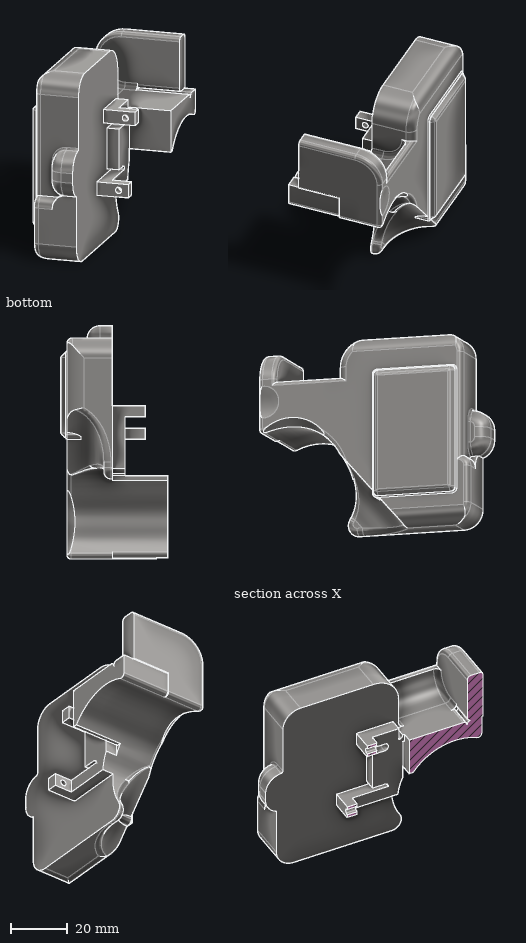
import cadquery as cq
import math

BODY_DEPTH = 16.0
BODY_HEIGHT = 68.0
HOUSING_WIDTH = 45.9
OUTER_CORNER_R = 7.0
INNER_CORNER_R = 10.0
TOP_EDGE_R = 4.75
INNER_EDGE_R = 3.0
SIDE_EDGE_R = 2.0
BOTTOM_EDGE_R = 6.0

STEP_OUT = 2.55
STEP_TOP = 24.3
STEP_CORNER_R = 4.25
STEP_INNER_Y = 15.0

ARM_END = 75.25
ARM_TOP = 54.2
ARM_TIP_R = 1.5
ARM_EDGE_R = 1.3
ARCH_R = 20.9
ARCH_Y = 64.1
ARCH_Z = 17.3
ARCH_END_ANGLE = math.acos((ARM_END - ARCH_Y) / ARCH_R)
TIP_R = 4.0
ARCH_BEVEL_R = 15.3
ARCH_BEVEL_Y = 63.3
ARCH_BEVEL_Z = 25.7
ARCH_BEVEL_DEPTH = 4.0

SCOOP_START = (45.0, 26.5)
SCOOP_END = (26.4, 5.5)
SCOOP_R = 13.0
SCOOP_LEAD = 3.0
SCOOP_EDGE_R = 2.5

SHELF_Z = 45.2
SHELF_DIP_R = ARM_TOP - SHELF_Z
SHELF_DIP_X = -4.5
SHELF_FOOT_R = 2.0
SHELF_END_X = 19.5
SHELF_BOTTOM = 30.0
SHELF_END_Y = 74.8

HOOK_INNER_Y = 68.85
HOOK_TOP = 65.2
HOOK_END_X = 15.5
HOOK_CORNER_R = 10.0
HOOK_EDGE_R = 1.5
DIMPLE_R = 5.7
DIMPLE_DEPTH = 0.6
DIMPLE_Y = 73.5
DIMPLE_Z = 47.1

PANEL_RISE = 2.2
PANEL_CHAMFER = 1.65
PANEL_Y = (2.0, 33.2)
PANEL_Z = (10.4, 56.4)
PANEL_CORNER_R = 1.8
PANEL_FLARE = 0.5
PANEL_EDGE_R = 1.2

BOSS_DEPTH = 8.9
BOSS_OUT = 6.85
BOSS_Z = (24.95, 41.65)
BOSS_CORNER_R = 6.6
BOSS_EDGE_R = 4.6
BOSS_FLARE_R = 0.8
BOSS_FOOT_TOP = 25.4
BOSS_FOOT_CORNER_R = 4.9

TERMINAL_THICK = 4.5
TERMINAL_LENGTH = 11.6
TERMINAL_HEIGHT = 4.9
TERMINAL_WIDTH = 3.9
TERMINAL_HOLE_D = 2.2
TERMINAL_HOLE_X = 8.0
UPPER_TERMINAL = (29.2, 43.7)
LOWER_TERMINAL = (21.3, 19.4)
CONTACT_FACE_Y = 33.2
CONTACT_BACK_Y = 45.2
UPPER_STRIP_END_Y = 43.7
SLOT_R = 1.5
SLOT_CENTER_Y = 38.0
OVERLAP = 5.0
REACH = 100.0


def box(x_range, y_range, z_range):
    """Box between the given limits."""
    size = [high - low for low, high in (x_range, y_range, z_range)]
    return (
        cq.Workplane("XY")
        .box(*size, centered=False)
        .translate((x_range[0], y_range[0], z_range[0]))
    )


def x_cylinder(radius, y, z, x_start, x_end):
    """Cylinder along X."""
    return cq.Workplane("YZ", origin=(x_start, y, z)).circle(radius).extrude(x_end - x_start)


def housing():
    """Upper housing with its rounded top, front and corners."""
    body = box((-BODY_DEPTH, 0), (0, HOUSING_WIDTH), (STEP_TOP - OVERLAP, BODY_HEIGHT))
    body = body.edges("|X and >Z and >Y").fillet(INNER_CORNER_R)
    top_front = cq.selectors.BoxSelector(
        (-BODY_DEPTH - OVERLAP, 0, BODY_HEIGHT - INNER_CORNER_R - OVERLAP),
        (-BODY_DEPTH + OVERLAP, HOUSING_WIDTH + OVERLAP, BODY_HEIGHT + OVERLAP),
    )
    body = body.edges(top_front).fillet(INNER_EDGE_R)
    top = box((-BODY_DEPTH, 0), (0, REACH), (0, BODY_HEIGHT))
    top = top.edges("<X and >Z").fillet(TOP_EDGE_R)
    side = box((-BODY_DEPTH, 0), (0, REACH), (0, BODY_HEIGHT))
    side = side.edges("|X and >Z and <Y").fillet(OUTER_CORNER_R)
    side = side.edges("<X and <Y").fillet(SIDE_EDGE_R)
    return body.intersect(top).intersect(side)


def lower_side():
    """Stepped-out lower side of the body."""
    side = box((-BODY_DEPTH, 0), (-STEP_OUT, STEP_INNER_Y), (0, STEP_TOP))
    side = side.edges("|X and <Y and >Z").fillet(STEP_CORNER_R)
    side = side.edges("|X and <Y and <Z").fillet(OUTER_CORNER_R)
    return side.edges("<X and <Y").fillet(SIDE_EDGE_R)


def tip_center():
    """Y, Z centre of the round that joins the arch to the underside."""
    z = TIP_R
    y = ARCH_Y - math.sqrt((ARCH_R + TIP_R) ** 2 - (ARCH_Z - z) ** 2)
    return y, z


def on_arch(angle):
    """Y, Z point of the arch at an angle from +Y."""
    return ARCH_Y + ARCH_R * math.cos(angle), ARCH_Z + ARCH_R * math.sin(angle)


def arm_blank(x_start):
    """Arm and lower body in one outline, hollowed underneath by the arch."""
    tip_y, tip_z = tip_center()
    tip_angle = math.atan2(tip_z - ARCH_Z, tip_y - ARCH_Y) + 2 * math.pi
    arch_middle_angle = (ARCH_END_ANGLE + tip_angle) / 2
    tip_middle_angle = (tip_angle - math.pi - math.pi / 2) / 2
    return (
        cq.Workplane("YZ", origin=(x_start, 0, 0))
        .moveTo(SIDE_EDGE_R, OUTER_CORNER_R)
        .lineTo(SIDE_EDGE_R, ARM_TOP)
        .lineTo(ARM_END, ARM_TOP)
        .lineTo(*on_arch(ARCH_END_ANGLE))
        .threePointArc(on_arch(arch_middle_angle), on_arch(tip_angle))
        .threePointArc(
            (tip_y + TIP_R * math.cos(tip_middle_angle), tip_z + TIP_R * math.sin(tip_middle_angle)),
            (tip_y, 0),
        )
        .lineTo(OUTER_CORNER_R, 0)
        .close()
        .extrude(-x_start)
    )


def arm():
    """Arm and lower body with the tip and the outer edges of the arm rounded."""
    tip = cq.selectors.NearestToPointSelector((-BODY_DEPTH / 2,) + on_arch(ARCH_END_ANGLE))
    body = arm_blank(-BODY_DEPTH).edges(tip).fillet(ARM_TIP_R)
    body = body.edges("<X and >Z").fillet(ARM_EDGE_R)
    return body.edges("<X and >Y").fillet(HOOK_EDGE_R)


def bottom_round():
    """Envelope that rounds the lower front edge."""
    envelope = box((-BODY_DEPTH, 0), (-STEP_OUT, REACH), (0, REACH))
    return envelope.edges("<X and <Z").fillet(BOTTOM_EDGE_R)


def scoop():
    """Cove that thins the lower tip behind a slanting edge of the front face."""
    along_y = SCOOP_END[0] - SCOOP_START[0]
    along_z = SCOOP_END[1] - SCOOP_START[1]
    plane = cq.Plane(
        origin=(-BODY_DEPTH, SCOOP_START[0], SCOOP_START[1]),
        xDir=(1, 0, 0),
        normal=(0, along_y, along_z),
    )
    outward = math.copysign(1, plane.yDir.y)
    middle = SCOOP_R * math.sqrt(0.5)
    return (
        cq.Workplane(plane)
        .moveTo(-OVERLAP * 2, 0)
        .lineTo(0, 0)
        .threePointArc((middle, outward * (SCOOP_R - middle)), (SCOOP_R, outward * SCOOP_R))
        .lineTo(SCOOP_R, outward * REACH)
        .lineTo(-OVERLAP * 2, outward * REACH)
        .close()
        .extrude(REACH)
        .translate(plane.zDir * -SCOOP_LEAD)
    )


def scooped_blank():
    """Envelope of the arm and lower body with the scoop and its rounded edge."""
    blank = arm_blank(-BODY_DEPTH - OVERLAP).cut(scoop())
    tip_y, tip_z = tip_center()
    edge = cq.selectors.NearestToPointSelector((-BODY_DEPTH + SCOOP_R, tip_y + TIP_R, tip_z / 2))
    return blank.edges(edge).fillet(SCOOP_EDGE_R)


def arch_bevel():
    """Cone that eases the front edge of the arch."""
    return cq.Workplane("XY").add(
        cq.Solid.makeCone(
            ARCH_BEVEL_R,
            ARCH_BEVEL_R - ARCH_BEVEL_DEPTH,
            ARCH_BEVEL_DEPTH,
            pnt=cq.Vector(-BODY_DEPTH, ARCH_BEVEL_Y, ARCH_BEVEL_Z),
            dir=cq.Vector(1, 0, 0),
        )
    )


def shelf_dip():
    """Cutter that sinks the shelf behind the front lip of the arm."""
    middle = SHELF_DIP_R * math.sqrt(0.5)
    cutter = (
        cq.Workplane("XZ", origin=(0, HOUSING_WIDTH, 0))
        .moveTo(SHELF_DIP_X - SHELF_DIP_R, ARM_TOP)
        .threePointArc((SHELF_DIP_X - middle, ARM_TOP - middle), (SHELF_DIP_X, SHELF_Z))
        .lineTo(OVERLAP, SHELF_Z)
        .lineTo(OVERLAP, HOOK_TOP)
        .lineTo(SHELF_DIP_X - SHELF_DIP_R, HOOK_TOP)
        .close()
        .extrude(HOUSING_WIDTH - HOOK_INNER_Y)
    )
    ends = cutter.faces("<Y or >Y").edges("not(>X or >Z)")
    return cutter.newObject(ends.vals()).fillet(SHELF_FOOT_R)


def hook():
    """Upright plate at the end of the arm."""
    plate = box((-BODY_DEPTH, HOOK_END_X), (HOOK_INNER_Y, ARM_END), (SHELF_Z, HOOK_TOP))
    plate = plate.edges("|Y and <X and >Z").fillet(HOOK_CORNER_R)
    plate = plate.faces(">Y").edges("not(>X or <Z)").fillet(HOOK_EDGE_R)
    return plate.faces("<Y").edges("not >X").fillet(HOOK_EDGE_R)


def dimple():
    """Shallow spherical thumb mark on the outer end of the arm."""
    radius = (DIMPLE_R ** 2 + DIMPLE_DEPTH ** 2) / (2 * DIMPLE_DEPTH)
    center_x = -BODY_DEPTH + DIMPLE_DEPTH - radius
    return cq.Workplane("XY").sphere(radius).translate((center_x, DIMPLE_Y, DIMPLE_Z))


def shelf():
    """Block behind the arm, grooved under the hook and hollowed by the arch."""
    block = box((0, SHELF_END_X), (HOUSING_WIDTH, HOOK_INNER_Y), (SHELF_BOTTOM, SHELF_Z))
    block = block.edges("|X and >Y and >Z").fillet(HOOK_EDGE_R)
    back = box((0, SHELF_END_X), (HOOK_INNER_Y, SHELF_END_Y), (SHELF_BOTTOM, SHELF_Z))
    back = back.edges("|X and <Y and >Z").fillet(HOOK_EDGE_R)
    back = back.cut(x_cylinder(ARCH_R, ARCH_Y, ARCH_Z, 0, SHELF_END_X))
    back = back.edges("|X and >Y and <Z").fillet(ARM_TIP_R)
    block = block.cut(x_cylinder(ARCH_R, ARCH_Y, ARCH_Z, 0, SHELF_END_X))
    return block.union(back)


def panel():
    """Raised rectangular panel on the front face."""
    base = box((-BODY_DEPTH - PANEL_FLARE, -BODY_DEPTH + OVERLAP), PANEL_Y, PANEL_Z)
    base = base.edges("|X").fillet(PANEL_CORNER_R)
    base = base.faces("<X").chamfer(PANEL_FLARE)
    plate = box(
        (-BODY_DEPTH - PANEL_RISE, -BODY_DEPTH + OVERLAP),
        (PANEL_Y[0] + PANEL_FLARE, PANEL_Y[1] - PANEL_FLARE),
        (PANEL_Z[0] + PANEL_FLARE, PANEL_Z[1] - PANEL_FLARE),
    )
    plate = plate.edges("|X").fillet(PANEL_CORNER_R)
    plate = plate.faces("<X").chamfer(PANEL_CHAMFER)
    plate = plate.faces("<X").edges().fillet(PANEL_EDGE_R)
    return base.union(plate)


def boss():
    """Rounded lug on the side of the housing."""
    lug = box((-BOSS_DEPTH, 0), (-BOSS_OUT, OVERLAP), BOSS_Z)
    lug = lug.edges("|X and <Y").fillet(BOSS_CORNER_R)
    lug = lug.faces("<X").edges("not >Y").fillet(BOSS_EDGE_R)
    foot = box((-BOSS_DEPTH, 0), (-STEP_OUT, OVERLAP), (STEP_TOP - STEP_CORNER_R, BOSS_FOOT_TOP))
    foot = foot.edges("<X and >Z").fillet(BOSS_FOOT_CORNER_R)
    return lug.union(foot)


def terminal(corner, strip_end_y):
    """Contact strip ending in a pierced terminal blade."""
    y, z = corner
    z_range = (z, z + TERMINAL_HEIGHT)
    strip = box((0, TERMINAL_THICK), (y, strip_end_y), z_range)
    blade = box((0, TERMINAL_LENGTH), (y, y + TERMINAL_WIDTH), z_range)
    hole = (
        cq.Workplane("XZ", origin=(TERMINAL_HOLE_X, y, z + TERMINAL_HEIGHT / 2))
        .circle(TERMINAL_HOLE_D / 2)
        .extrude(-TERMINAL_WIDTH)
    )
    return strip.union(blade).cut(hole)


def contacts():
    """Contact block with a slot beside each of its two terminal strips."""
    bottom = LOWER_TERMINAL[1]
    top = UPPER_TERMINAL[1]
    block = box((0, TERMINAL_THICK), (CONTACT_FACE_Y, CONTACT_BACK_Y), (bottom, top))
    foot = box(
        (0, TERMINAL_THICK), (UPPER_STRIP_END_Y, HOUSING_WIDTH), (top - SLOT_R, top + SLOT_R)
    )
    foot = foot.cut(x_cylinder(SLOT_R, CONTACT_BACK_Y - SLOT_R, top + SLOT_R, 0, TERMINAL_THICK))
    block = block.union(foot)
    for slot_z in (top - SLOT_R, bottom + TERMINAL_HEIGHT):
        slot = box(
            (0, TERMINAL_THICK),
            (CONTACT_FACE_Y, SLOT_CENTER_Y),
            (slot_z - SLOT_R, slot_z + SLOT_R),
        )
        block = block.cut(slot).cut(x_cylinder(SLOT_R, SLOT_CENTER_Y, slot_z, 0, TERMINAL_THICK))
    block = block.union(terminal(UPPER_TERMINAL, UPPER_STRIP_END_Y))
    block = block.union(terminal(LOWER_TERMINAL, CONTACT_BACK_Y))
    return block.cut(x_cylinder(ARCH_R, ARCH_Y, ARCH_Z, 0, TERMINAL_THICK))


def front_body():
    """Everything in front of X = 0 except the panel."""
    lower = arm().intersect(scooped_blank()).union(lower_side()).intersect(bottom_round())
    upper = housing().cut(scoop()).cut(x_cylinder(ARCH_R, ARCH_Y, ARCH_Z, -BODY_DEPTH, 0))
    body = lower.union(upper).cut(arch_bevel()).union(boss())
    boss_top = cq.selectors.NearestToPointSelector((-BOSS_DEPTH / 4, 0, BOSS_Z[1]))
    body = body.edges(boss_top).fillet(BOSS_FLARE_R)
    body = body.union(hook()).cut(shelf_dip())
    return body.cut(dimple())


result = front_body().union(panel()).union(shelf()).union(contacts())